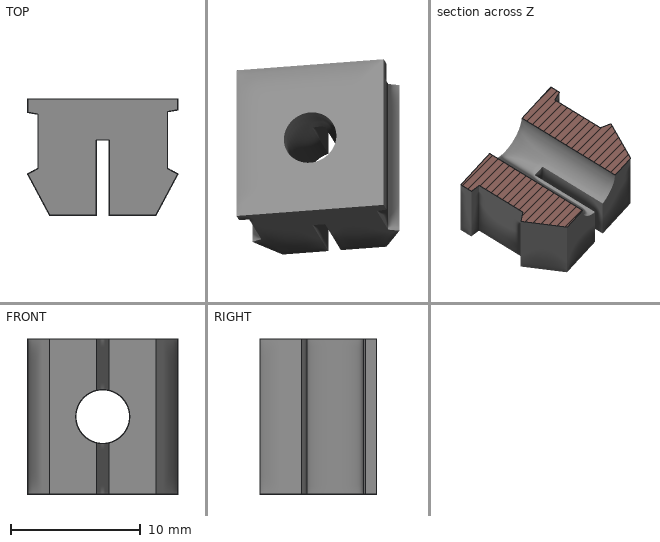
import cadquery as cq

width = 11.6
depth = 9.0
height = 12.0

neck_width = 10.01
front_width = 8.18
barb_tip_y = 3.2
barb_shoulder_y = 3.62
left_lip_edge_thickness = 1.05
left_lip_root_thickness = 1.2
right_lip_edge_thickness = 0.86
right_lip_root_thickness = 1.01

slot_width = 1.0
slot_depth = 5.81
hole_diameter = 4.14


def side_points(side, lip_edge_thickness, lip_root_thickness):
    """Outline of one side from front to back; side is -1 for left, +1 for right."""
    outer_x = side * width / 2
    neck_x = side * neck_width / 2
    return [
        (side * front_width / 2, 0),
        (outer_x, barb_tip_y),
        (neck_x, barb_shoulder_y),
        (neck_x, depth - lip_root_thickness),
        (outer_x, depth - lip_edge_thickness),
        (outer_x, depth),
    ]


right_side = side_points(1, right_lip_edge_thickness, right_lip_root_thickness)
left_side = side_points(-1, left_lip_edge_thickness, left_lip_root_thickness)
body = cq.Workplane("XY").polyline(right_side + left_side[::-1]).close().extrude(height)

slot = cq.Workplane("XY").box(slot_width, slot_depth, height, centered=(True, False, False))

hole = (
    cq.Workplane("XZ")
    .center(0, height / 2)
    .circle(hole_diameter / 2)
    .extrude(-depth)
)

result = body.cut(slot).cut(hole)